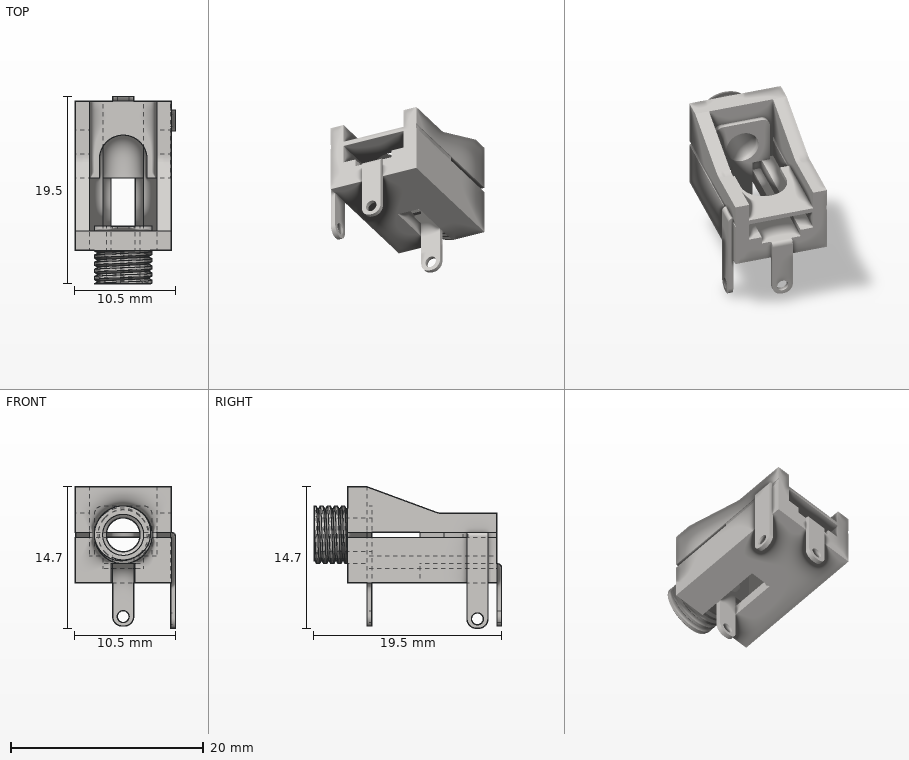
import cadquery as cq
import math


body_width = 10.0
body_height = 10.0
body_length = 15.5
front_wall = 2.0
side_wall = 1.5
rear_rail_top = 2.25
ramp_foot_y = 9.5
ramp_foot_radius = 1.95
chamber_floor = -2.2

barrel_diameter = 6.0
barrel_length = 3.5
bore_diameter = 3.5
bore_chamfer = 0.39
thread_pitch = 0.75
thread_depth = 0.39
groove_width = 0.45
groove_start_y = -4.37

sheet = 0.5
bend_radius = 0.43
tail_width = 2.2
tail_corner = 1.0
tail_hole = 1.2

side_setback = 0.05
side_sheet_front = 7.5
arch_radius = 2.48
arch_centre_y = 9.5
post_front = 10.0
post_length = 2.5
side_tail_y = 13.5
side_tail_bottom = -9.73

tail_bottom = -9.5
rear_sheet_top = -3.0
rear_sheet_width = 4.25
rear_sheet_front = side_sheet_front
head_width = barrel_diameter
head_corner = 0.88
tail_slot_width = 2.5

half_width = body_width / 2
half_height = body_height / 2
chamber_half = half_width - side_wall
sheet_half = half_width - side_setback
half_sheet = sheet / 2
rear_sheet_bottom = rear_sheet_top - sheet
head_top = head_width / 2


def box(x0, x1, y0, y1, z0, z1):
    """Box between two opposite corners."""
    return cq.Workplane("XY").box(x1 - x0, y1 - y0, z1 - z0, centered=False).translate((x0, y0, z0))


def y_cylinder(diameter, y0, y1):
    """Cylinder on the barrel axis from y0 to y1."""
    return cq.Workplane("XZ", origin=(0, y1, 0)).circle(diameter / 2).extrude(y1 - y0)


def upright_tail(bottom, top):
    """Solder tail centred on X = 0, with its front face on Y = 0."""
    tail = box(-tail_width / 2, tail_width / 2, 0, sheet, bottom, top)
    tail = tail.edges("|Y and <Z").fillet(tail_corner)
    eye = y_cylinder(tail_hole, 0, sheet).translate((0, 0, bottom + tail_corner))
    return tail.cut(eye)


def bent_tail(bottom, top):
    """Solder tail whose outer top edge is rounded, where the sheet bends over."""
    return upright_tail(bottom, top).edges(">Y and >Z").fillet(bend_radius)


def make_front_terminal():
    """Ring plate behind the front wall with a tail through the floor."""
    head = box(-head_width / 2, head_width / 2, 0, sheet, chamber_floor, head_top)
    head = head.edges("|Y and >Z").fillet(head_corner)
    plate = head.union(upright_tail(tail_bottom, chamber_floor))
    plate = plate.cut(y_cylinder(bore_diameter, 0, sheet))
    return plate.translate((0, front_wall, 0))


def make_rear_terminal():
    """Flat sheet on the channel floor with a tail down the rear face."""
    half = rear_sheet_width / 2
    blade = box(-half, half, rear_sheet_front, body_length, rear_sheet_bottom, rear_sheet_top)
    tail = bent_tail(tail_bottom, rear_sheet_top).translate((0, body_length, 0))
    return blade.union(tail)


def make_posts():
    """Two posts across the side slits that join the halves of the housing."""
    post = box(chamber_half, sheet_half, post_front, post_front + post_length, -half_sheet, half_sheet)
    return post.union(post.mirror("YZ"))


def make_side_terminal():
    """Mid-height sheet with an arched front cutout and a tail down the +X side."""
    blade = box(-sheet_half, sheet_half, side_sheet_front, body_length, -half_sheet, half_sheet)
    arch = (
        cq.Workplane("XY", origin=(0, 0, -half_sheet))
        .moveTo(-arch_radius, side_sheet_front)
        .lineTo(-arch_radius, arch_centre_y)
        .threePointArc((0, arch_centre_y + arch_radius), (arch_radius, arch_centre_y))
        .lineTo(arch_radius, side_sheet_front)
        .close()
        .extrude(sheet)
    )
    tail = bent_tail(side_tail_bottom, half_sheet)
    tail = tail.rotate((0, 0, 0), (0, 0, 1), -90).translate((sheet_half, side_tail_y, 0))
    return blade.cut(arch).cut(make_posts()).union(tail)


def make_barrel():
    """Barrel with a right-hand V thread; it starts flat on the housing face."""
    radius = barrel_diameter / 2
    overrun = thread_pitch
    turns = math.ceil((overrun - groove_start_y) / thread_pitch)
    path = cq.Wire.makeHelix(thread_pitch, turns * thread_pitch, radius)
    outer = radius + thread_depth
    groove = (
        cq.Workplane("XZ")
        .moveTo(radius - thread_depth, 0)
        .lineTo(outer, groove_width)
        .lineTo(outer, -groove_width)
        .close()
        .sweep(cq.Workplane(path), isFrenet=True)
        .rotate((0, 0, 0), (1, 0, 0), -90)
        .translate((0, groove_start_y, 0))
    )
    blank = y_cylinder(barrel_diameter, groove_start_y, overrun)
    trim = y_cylinder(2 * outer, -barrel_length, 0)
    return blank.cut(groove).intersect(trim)


def make_block():
    """Block with rails that slope down behind the front wall."""
    profile = (
        cq.Workplane("YZ", origin=(-half_width, 0, 0))
        .moveTo(0, -half_height)
        .lineTo(0, half_height)
        .lineTo(front_wall, half_height)
        .lineTo(ramp_foot_y, rear_rail_top)
        .lineTo(body_length, rear_rail_top)
        .lineTo(body_length, -half_height)
        .close()
        .extrude(body_width)
    )
    ramp_foot = cq.selectors.NearestToPointSelector((0, ramp_foot_y, rear_rail_top))
    return profile.edges("|X").edges(ramp_foot).fillet(ramp_foot_radius)


def make_housing(front_terminal, rear_terminal, side_terminal):
    """Block, barrel and bore, hollowed out for the plug and the terminals."""
    channel_half = rear_sheet_width / 2
    slot_half = tail_slot_width / 2
    chamber = box(-chamber_half, chamber_half, front_wall, body_length, chamber_floor, half_height)
    channel = box(-channel_half, channel_half, front_wall, body_length, rear_sheet_bottom, chamber_floor)
    tail_slot = box(-slot_half, slot_half, 0, rear_sheet_front, -half_height, rear_sheet_top)
    side_slit = box(chamber_half, half_width, 0, body_length, -half_sheet, half_sheet)

    housing = make_block().cut(chamber).cut(channel).cut(tail_slot)
    housing = housing.cut(side_slit).cut(side_slit.mirror("YZ")).union(make_posts())
    for terminal in (front_terminal, rear_terminal, side_terminal):
        housing = housing.cut(terminal)

    bore = y_cylinder(bore_diameter, -barrel_length, front_wall)
    mouth = (
        cq.Workplane("XZ", origin=(0, -barrel_length, 0))
        .circle(bore_diameter / 2 + bore_chamfer)
        .workplane(offset=-bore_chamfer)
        .circle(bore_diameter / 2)
        .loft()
    )
    return housing.union(make_barrel()).cut(bore).cut(mouth)


front_terminal = make_front_terminal()
rear_terminal = make_rear_terminal()
side_terminal = make_side_terminal()
housing = make_housing(front_terminal, rear_terminal, side_terminal)

result = cq.Compound.makeCompound(
    [housing.val(), front_terminal.val(), rear_terminal.val(), side_terminal.val()]
)